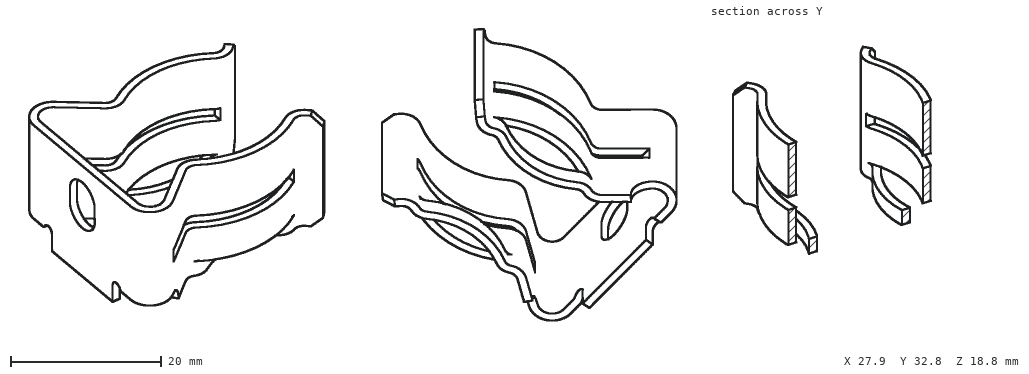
import cadquery as cq
import math


WIDTH = 27.9
DEPTH = 32.77
HEIGHT = 18.8
SHEET = 1.18

CORNER_RADIUS = 2.0
WAIST_RADIUS = 1.5
WAIST_GAP = 14.98
GRIP_RADIUS = 13.5
GRIP_CENTRE_Y = 20.32
GRIP_OFFSET = 3.35
LIP_ANGLE = 45.0
LIP_CHAMFER = 1.65

BAND_HEIGHT = 2.45
BAND_RADIUS = 11.4
BAND_BEND_RADIUS = 1.2
BAND_GAP = 11.5

SLOT_BOTTOM = 8.2
SLOT_HEIGHT = 2.0
SLOT_START_Y = 5.5
SLOT_END_Y = 28.55

HOLE_WIDTH = 5.55
HOLE_HEIGHT = 7.75
HOLE_CENTRE_Z = 12.12
TAB_WIDTH = 13.57
CORNER_CUT_HEIGHT = 2.92
RELIEF_RADIUS = 0.82
RELIEF_FILLET = 0.4

CLEARANCE = 0.33
SAME_POINT = 3.28e-05


def polar(centre, radius, angle):
    """Point at a radius and an angle in degrees from a centre."""
    a = math.radians(angle)
    return (centre[0] + radius * math.cos(a), centre[1] + radius * math.sin(a))


def distance(p, q):
    return math.hypot(q[0] - p[0], q[1] - p[1])


def direction(p, q):
    return math.degrees(math.atan2(q[1] - p[1], q[0] - p[0]))


def convex_bend(centre, radius, first, last):
    """Bend curving round the inside of the clip."""
    return (centre, radius + SHEET, radius, first, last)


def concave_bend(centre, radius, first, last):
    """Bend curving round a centre outside the clip."""
    return (centre, radius, radius + SHEET, first, last)


def mirror_bend(bend):
    """The same bend reflected about the grip centre line, traced in reverse."""
    centre, outside, inside, first, last = bend
    return ((centre[0], 2 * GRIP_CENTRE_Y - centre[1]), outside, inside, -last, -first)


def add_line(wire, point, target):
    """Draw a line unless the pen is already at the target."""
    return wire if distance(point, target) < SAME_POINT else wire.lineTo(*target)


def strip(bends, bottom, height, grow=0.0):
    """Extruded strip through the bends, joined by straight lengths; grow thickens both faces."""
    outside_arcs = []
    inside_arcs = []
    for centre, outside, inside, first, last in bends:
        step = math.copysign(grow, outside - inside)
        outside_arcs.append((centre, outside + step, first, last))
        inside_arcs.insert(0, (centre, inside - step, last, first))
    arcs = outside_arcs + inside_arcs

    point = polar(*arcs[0][:3])
    wire = cq.Workplane("XY").workplane(offset=bottom).moveTo(*point)
    for centre, radius, first, last in arcs:
        wire = add_line(wire, point, polar(centre, radius, first))
        point = polar(centre, radius, last)
        if first != last:
            wire = wire.threePointArc(polar(centre, radius, (first + last) / 2), point)
    return wire.close().extrude(height)


corner_outer = CORNER_RADIUS + SHEET
waist_outer = WAIST_RADIUS + SHEET
corner_centre = (corner_outer - WIDTH / 2, corner_outer)
grip_centre = (GRIP_OFFSET, GRIP_CENTRE_Y)
waist_x = -WAIST_GAP / 2 - waist_outer
grip_angle = math.degrees(math.acos((GRIP_OFFSET - waist_x) / (GRIP_RADIUS + waist_outer)))
waist_rise = (GRIP_OFFSET - waist_x) * math.tan(math.radians(grip_angle))
low_waist_centre = (waist_x, GRIP_CENTRE_Y - waist_rise)
high_waist_centre = (waist_x, GRIP_CENTRE_Y + waist_rise)

leg_span = distance(corner_centre, low_waist_centre)
leg_tilt = math.degrees(math.asin((corner_outer + WAIST_RADIUS) / leg_span))
leg_angle = direction(corner_centre, low_waist_centre) - leg_tilt
leg_normal = leg_angle + 90

lip_direction = LIP_ANGLE + 90
lip_root_y = polar(high_waist_centre, waist_outer, LIP_ANGLE)[1]
lip_length = (DEPTH - lip_root_y) / math.sin(math.radians(lip_direction))
lip_end_centre = polar(high_waist_centre, lip_length, lip_direction)

band_outer = BAND_RADIUS + SHEET
bow_centre = (-BAND_GAP / 2 - band_outer, GRIP_CENTRE_Y)
bow_reach = band_outer + BAND_BEND_RADIUS
waist_reach = waist_outer + BAND_BEND_RADIUS
bow_span = distance(bow_centre, high_waist_centre)
bow_cosine = (bow_span**2 + bow_reach**2 - waist_reach**2) / (2 * bow_span * bow_reach)
bow_angle = direction(bow_centre, high_waist_centre) - math.degrees(math.acos(bow_cosine))
band_bend_centre = polar(bow_centre, bow_reach, bow_angle)
band_start = direction(high_waist_centre, band_bend_centre)

plate_middle = convex_bend((0, corner_outer), CORNER_RADIUS, 270, 270)
corner = convex_bend(corner_centre, CORNER_RADIUS, 270, leg_normal)
low_waist = concave_bend(low_waist_centre, WAIST_RADIUS, leg_normal - 180, grip_angle)
grip = convex_bend(grip_centre, GRIP_RADIUS, 180 + grip_angle, 180 - grip_angle)
high_waist = concave_bend(high_waist_centre, WAIST_RADIUS, -grip_angle, LIP_ANGLE)
lip_end = concave_bend(lip_end_centre, WAIST_RADIUS, LIP_ANGLE, LIP_ANGLE)

high_join = concave_bend(high_waist_centre, WAIST_RADIUS, -grip_angle, band_start)
low_join = mirror_bend(high_join)


def bowed_band():
    """Lower band that bows inwards between the two waists."""
    high_bend = convex_bend(band_bend_centre, BAND_BEND_RADIUS, 180 + bow_angle, 180 + band_start)
    bow = concave_bend(bow_centre, BAND_RADIUS, -bow_angle, bow_angle)
    return strip([mirror_bend(high_bend), bow, high_bend], 0, BAND_HEIGHT)


def arm_slot():
    """Slot from the leg, along the grip, to the high waist, with both ends square to Y."""
    return (
        cq.Workplane("XY", origin=(-WIDTH / 2, SLOT_START_Y, SLOT_BOTTOM))
        .box(WIDTH / 2, SLOT_END_Y - SLOT_START_Y, SLOT_HEIGHT, centered=False)
    )


def lip_chamfers():
    """Wedges that clip the two corners of the lip."""
    across = polar((0, 0), 1, LIP_ANGLE)
    along = polar((0, 0), 1, lip_direction)
    reach = waist_outer + CLEARANCE
    wedges = cq.Workplane("XY")
    for z, inward in ((0, 1), (HEIGHT, -1)):
        plane = cq.Plane(origin=(*lip_end_centre, z), xDir=(*along, 0), normal=(*across, 0))
        corners = [(0, 0), (-LIP_CHAMFER, 0), (0, inward * LIP_CHAMFER)]
        wedges = wedges.add(cq.Workplane(plane).polyline(corners).close().extrude(reach))
    return wedges.combine()


def leg_cutout():
    """Quarter-round cut in the lower edge of the leg, centred where the corner bend ends."""
    across = polar((0, 0), 1, leg_normal)
    plane = cq.Plane(origin=(*corner_centre, 0), xDir=(0, 0, 1), normal=(*across, 0))
    return cq.Workplane(plane).circle(CORNER_CUT_HEIGHT).extrude(corner_outer + CLEARANCE)


def plate_cutout():
    """Cut beside the tab, with a round relief that blends into the lower edge of the plate."""
    tab_edge = -TAB_WIDTH / 2
    relief = (tab_edge - RELIEF_RADIUS, CORNER_CUT_HEIGHT)
    reach = RELIEF_RADIUS + RELIEF_FILLET
    fillet_angle = 180 - math.degrees(math.asin(RELIEF_FILLET / reach))
    fillet = polar(relief, reach, fillet_angle)
    relief_end = polar(relief, RELIEF_RADIUS, fillet_angle)
    fillet_end = (fillet[0], CORNER_CUT_HEIGHT)
    fillet_middle = (fillet_angle - 180 - 90) / 2
    return (
        cq.Workplane("XZ", origin=(0, SHEET + CLEARANCE, 0))
        .moveTo(tab_edge, 0)
        .lineTo(tab_edge, CORNER_CUT_HEIGHT)
        .threePointArc(polar(relief, RELIEF_RADIUS, fillet_angle / 2), relief_end)
        .threePointArc(polar(fillet, RELIEF_FILLET, fillet_middle), fillet_end)
        .lineTo(corner_centre[0], CORNER_CUT_HEIGHT)
        .lineTo(corner_centre[0], 0)
        .close()
        .extrude(SHEET + 2 * CLEARANCE)
    )


def mounting_hole():
    """Upright oblong hole through the back plate."""
    return (
        cq.Workplane("XZ", origin=(0, SHEET + CLEARANCE, HOLE_CENTRE_Z))
        .slot2D(HOLE_HEIGHT, HOLE_WIDTH, 90)
        .extrude(SHEET + 2 * CLEARANCE)
    )


half = strip([plate_middle, corner, low_waist, grip, high_waist, lip_end], 0, HEIGHT)
half = half.cut(strip([low_join, grip, high_join], -CLEARANCE, BAND_HEIGHT + CLEARANCE, CLEARANCE))
half = half.union(bowed_band())
half = half.cut(arm_slot())
half = half.cut(lip_chamfers())
half = half.cut(strip([corner], 0, CORNER_CUT_HEIGHT, CLEARANCE))
half = half.cut(leg_cutout())
half = half.cut(plate_cutout())

result = half.union(half.mirror("YZ")).cut(mounting_hole()).clean()